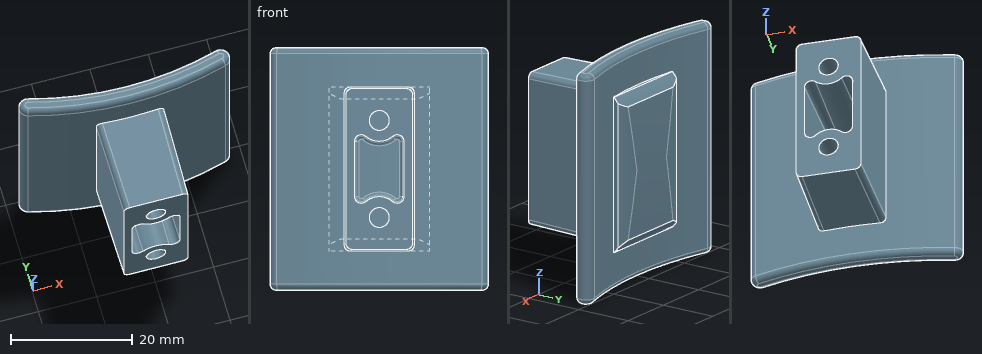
import cadquery as cq
import math

plate_width = 36.0
plate_height = 40.0
plate_thickness = 3.0
plate_mid_radius = 60.0
plate_edge_fillet = 1.0
plate_tip_y = 20.95

block_width = 11.0
block_height = 26.5
block_corner_radius = 1.0
draft_angle = 1.0

hole_diameter = 3.3
hole_offset = 8.0
hole_depth = 12.0

pocket_half_width = 4.1
pocket_lobe_radius = 1.1
hole_wall_radius = 3.45
pocket_floor_fillet = 0.5

pad_width = 16.6
pad_height = 27.0
pad_crown_y = 21.05
pad_side_y = 20.15
pad_side_radius = 10.0
pad_shoulder_y = 20.8
pad_shoulder_radius = 12.8
pad_end_y = 19.3
pad_end_angle = 43.0

half_thickness = plate_thickness / 2
outer_radius = plate_mid_radius + half_thickness
inner_radius = plate_mid_radius - half_thickness
end_center_x = plate_width / 2 - half_thickness
end_angle = math.asin(end_center_x / plate_mid_radius)
end_center_y = plate_tip_y - half_thickness
arc_center_y = end_center_y + plate_mid_radius * math.cos(end_angle)
plate_middle_y = arc_center_y - plate_mid_radius


def arc_point(radius, angle):
    """Point on an arc about the plate axis; angle is measured from -Y toward +X."""
    return radius * math.sin(angle), arc_center_y - radius * math.cos(angle)


def make_plate():
    """Arc-shaped plate with full-round sides and filleted top and bottom rims."""
    tip_x = end_center_x + half_thickness * math.cos(end_angle)
    tip_y = end_center_y + half_thickness * math.sin(end_angle)
    return (
        cq.Workplane("XY")
        .moveTo(*arc_point(outer_radius, -end_angle))
        .threePointArc(arc_point(outer_radius, 0), arc_point(outer_radius, end_angle))
        .threePointArc((tip_x, tip_y), arc_point(inner_radius, end_angle))
        .threePointArc(arc_point(inner_radius, 0), arc_point(inner_radius, -end_angle))
        .threePointArc((-tip_x, tip_y), arc_point(outer_radius, -end_angle))
        .close()
        .extrude(plate_height / 2, both=True)
        .faces("|Z")
        .edges()
        .fillet(plate_edge_fillet)
    )


def make_block():
    """Block that narrows by the draft angle from the middle of the plate to its free face."""
    draft_growth = 2 * plate_middle_y * math.tan(math.radians(draft_angle))
    return (
        cq.Workplane("XZ", origin=(0, plate_middle_y, 0))
        .rect(block_width + draft_growth, block_height + draft_growth)
        .extrude(plate_middle_y, taper=draft_angle)
        .edges("not(<Y or >Y)")
        .fillet(block_corner_radius)
    )


def pad_width_section():
    """Pad section in XY, with a flat crown easing into both sides along tangent arcs."""
    half_width = pad_width / 2

    def run_at(drop):
        """Distance from the edge of the flat at which the arc has fallen by drop."""
        return math.sqrt(pad_side_radius**2 - (pad_side_radius - drop) ** 2)

    side_drop = pad_crown_y - pad_side_y
    half_flat = half_width - run_at(side_drop)
    mid_x = half_flat + run_at(side_drop / 2)
    mid_y = pad_crown_y - side_drop / 2
    return (
        cq.Workplane("XY")
        .moveTo(-half_width, plate_middle_y)
        .lineTo(half_width, plate_middle_y)
        .lineTo(half_width, pad_side_y)
        .threePointArc((mid_x, mid_y), (half_flat, pad_crown_y))
        .lineTo(-half_flat, pad_crown_y)
        .threePointArc((-mid_x, mid_y), (-half_width, pad_side_y))
        .close()
        .extrude(pad_height / 2, both=True)
    )


def pad_height_section():
    """Pad section in YZ, with a shallow crown and a steeper rounded shoulder at each end."""
    half_height = pad_height / 2
    center_z = half_height - pad_shoulder_radius * math.sin(math.radians(pad_end_angle))
    center_y = pad_end_y - pad_shoulder_radius * math.cos(math.radians(pad_end_angle))

    def shoulder_z(y):
        """Height of the upper shoulder arc at a given Y."""
        return center_z + math.sqrt(pad_shoulder_radius**2 - (y - center_y) ** 2)

    mid_y = (pad_end_y + pad_shoulder_y) / 2
    mid_z = shoulder_z(mid_y)
    top_z = shoulder_z(pad_shoulder_y)
    return (
        cq.Workplane("YZ")
        .moveTo(plate_middle_y, -half_height)
        .lineTo(plate_middle_y, half_height)
        .lineTo(pad_end_y, half_height)
        .threePointArc((mid_y, mid_z), (pad_shoulder_y, top_z))
        .threePointArc((pad_crown_y, 0), (pad_shoulder_y, -top_z))
        .threePointArc((mid_y, -mid_z), (pad_end_y, -half_height))
        .close()
        .extrude(pad_width / 2, both=True)
    )


def make_pad():
    """Pad rounded along both X and Z."""
    return pad_width_section().intersect(pad_height_section())


def make_pocket():
    """Drafted pocket whose floor follows the convex face of the plate."""
    lobe_x = pocket_half_width - pocket_lobe_radius
    center_distance = hole_wall_radius + pocket_lobe_radius
    lobe_z = hole_offset - math.sqrt(center_distance**2 - lobe_x**2)
    joint_x = lobe_x * hole_wall_radius / center_distance
    joint_z = hole_offset + (lobe_z - hole_offset) * hole_wall_radius / center_distance
    waist_z = hole_offset - hole_wall_radius
    lobe_top_z = lobe_z + pocket_lobe_radius
    pocket = (
        cq.Workplane("XZ")
        .moveTo(pocket_half_width, -lobe_z)
        .lineTo(pocket_half_width, lobe_z)
        .threePointArc((lobe_x, lobe_top_z), (joint_x, joint_z))
        .threePointArc((0, waist_z), (-joint_x, joint_z))
        .threePointArc((-lobe_x, lobe_top_z), (-pocket_half_width, lobe_z))
        .lineTo(-pocket_half_width, -lobe_z)
        .threePointArc((-lobe_x, -lobe_top_z), (-joint_x, -joint_z))
        .threePointArc((0, -waist_z), (joint_x, -joint_z))
        .threePointArc((lobe_x, -lobe_top_z), (pocket_half_width, -lobe_z))
        .close()
        .extrude(-plate_middle_y, taper=draft_angle)
    )
    beyond_floor = (
        cq.Workplane("XY")
        .center(0, arc_center_y)
        .circle(outer_radius)
        .extrude(plate_height / 2, both=True)
    )
    return pocket.cut(beyond_floor).faces(">Y").edges().fillet(pocket_floor_fillet)


def make_holes():
    """Pair of blind screw holes, above and below the pocket."""
    return (
        cq.Workplane("XZ")
        .pushPoints([(0, hole_offset), (0, -hole_offset)])
        .circle(hole_diameter / 2)
        .extrude(-hole_depth)
    )


result = (
    make_plate()
    .union(make_block())
    .union(make_pad())
    .cut(make_pocket())
    .cut(make_holes())
)